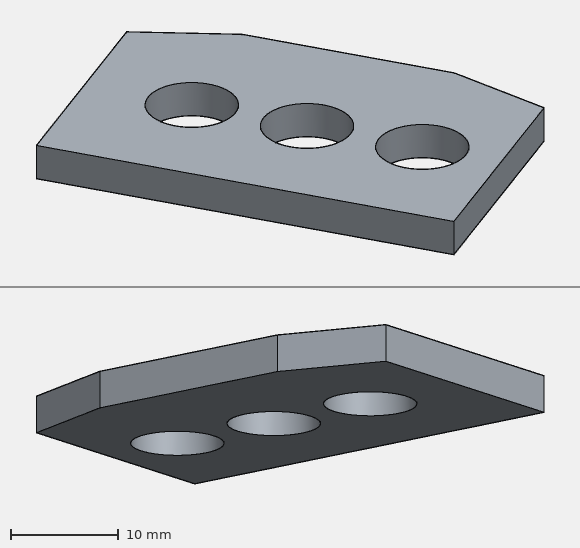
import cadquery as cq

length = 41.4
width = 26.9
thickness = 3.5

corner_run = 10.2
corner_drop = 3.35

hole_diameter = 8.65
hole_count = 3
hole_pitch = 11.43
first_hole_x = 10.7
hole_row_y = 12.45

outline = [
    (0, 0),
    (length, 0),
    (length, width - corner_drop),
    (length - corner_run, width),
    (corner_run, width),
    (0, width - corner_drop),
]
hole_centers = [(first_hole_x + i * hole_pitch, hole_row_y) for i in range(hole_count)]

plate = cq.Workplane("XY").polyline(outline).close().extrude(thickness)
holes = cq.Workplane("XY").pushPoints(hole_centers).circle(hole_diameter / 2).extrude(thickness)

result = plate.cut(holes)